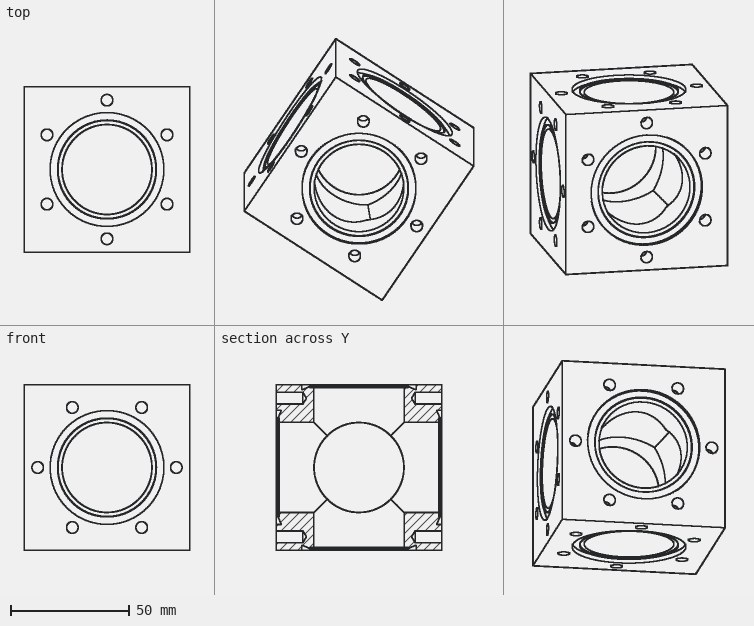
import cadquery as cq
import math

side = 70.1
bore_diameter = 38.0

recess_diameter = 48.2
knife_diameter = 41.9
knife_root_diameter = 41.5
crest_depth = 0.7
recess_depth = 2.0
seat_depth = 1.2

bolt_hole_diameter = 4.9
bolt_circle_diameter = 58.7
bolt_hole_depth = 11.2
bolt_count = 6
drill_point_angle = 118.0

faces = [
    ((0, -1, 0), (1, 0, 0)),
    ((0, 1, 0), (1, 0, 0)),
    ((-1, 0, 0), (0, 0, 1)),
    ((1, 0, 0), (0, 0, 1)),
    ((0, 0, 1), (0, 1, 0)),
    ((0, 0, -1), (0, 1, 0)),
]


def make_port():
    """Bore and knife-edge recess, on the +Z axis from the cube centre to the face."""
    face = side / 2
    return (
        cq.Workplane("XZ")
        .moveTo(0, 0)
        .lineTo(bore_diameter / 2, 0)
        .lineTo(bore_diameter / 2, face - seat_depth)
        .lineTo(knife_root_diameter / 2, face - seat_depth)
        .lineTo(knife_diameter / 2, face - crest_depth)
        .lineTo(recess_diameter / 2, face - recess_depth)
        .lineTo(recess_diameter / 2, face)
        .lineTo(0, face)
        .close()
        .revolve(360, (0, 0, 0), (0, 1, 0))
    )


def make_bolt_holes():
    """Ring of drilled holes in the +Z face, the first one on +X."""
    radius = bolt_hole_diameter / 2
    shoulder = side / 2 - bolt_hole_depth
    point_length = radius / math.tan(math.radians(drill_point_angle / 2))
    drill = (
        cq.Workplane("XZ")
        .moveTo(0, shoulder - point_length)
        .lineTo(radius, shoulder)
        .lineTo(radius, side / 2)
        .lineTo(0, side / 2)
        .close()
        .revolve(360, (0, 0, 0), (0, 1, 0))
        .val()
    )
    return (
        cq.Workplane("XY")
        .polarArray(bolt_circle_diameter / 2, 0, 360, bolt_count)
        .eachpoint(drill, combine=True)
    )


face_tool = make_port().union(make_bolt_holes()).val()

result = cq.Workplane("XY").box(side, side, side)
for normal, first_hole_direction in faces:
    face_plane = cq.Plane(origin=(0, 0, 0), xDir=first_hole_direction, normal=normal)
    result = result.cut(cq.Workplane(obj=face_tool.moved(cq.Location(face_plane))))